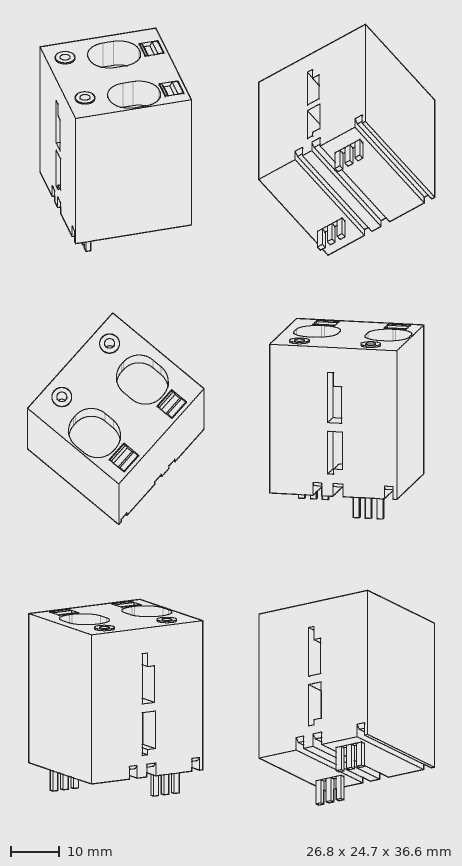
import cadquery as cq


WIDTH = 26.8
DEPTH = 24.7
PIN_LENGTH = 5.0
COLLAR_HEIGHT = 0.3
TOTAL_HEIGHT = 36.6
HEIGHT = TOTAL_HEIGHT - PIN_LENGTH - COLLAR_HEIGHT

POLE_PITCH = 15
POLE_SHIFTS = [0, POLE_PITCH]

ENTRY_X = 6.8
ENTRY_Y = 13.87
ENTRY_WIDTH = 9.15
ENTRY_LENGTH = 10.8
ENTRY_CORNER_RADIUS = 4.3
ENTRY_DEPTH = 6.0

TEST_X = 5.4
TEST_Y = 3.8
COLLAR_DIAMETER = 4.05
BORE_DIAMETER = 2.05
BORE_DEPTH = 5.5

WINDOW_X = ENTRY_X
WINDOW_Y = 21.85
WINDOW_WIDTH = 4.65
WINDOW_LENGTH = 4.05
WINDOW_DEPTH = 7.32
LEVER_GAP = 0.15
LEVER_WIDTH = WINDOW_WIDTH - 2 * LEVER_GAP
LEVER_LENGTH = WINDOW_LENGTH - 2 * LEVER_GAP
LEVER_FRONT_LAND = 0.4
LEVER_BACK_LAND = 1.15
GROOVE_DEPTH = 0.85
GROOVE_FLANK_RUN = 0.495

SLOT_LEFT = 12.22
SLOT_NARROW_WIDTH = 1.28
UPPER_SLOT_WIDTH = 2.95
UPPER_SLOT_BOTTOM = 15.45
UPPER_SLOT_STEP = 23.13
UPPER_SLOT_TOP = 26
LOWER_SLOT_WIDTH = 3.1
LOWER_SLOT_BOTTOM = 4.65
LOWER_SLOT_STEP = 5.75
LOWER_SLOT_TOP = 13.6
SLOT_DEPTH = 4.75

SIDE_CHANNEL_LEFT = 9.15
SIDE_CHANNEL_WIDTH = 1.83
MIDDLE_CHANNEL_LEFT = 13.32
MIDDLE_CHANNEL_WIDTH = 2.12
CHANNEL_HEIGHT = 1.85
MOUTH_HEIGHT = 2.7
MOUTH_RUN = MOUTH_HEIGHT - CHANNEL_HEIGHT

PINS_PER_CONTACT = 3
PIN_PITCH = 2.5
PIN_WIDTH = 1.25
PIN_THICKNESS = 1.05
FIRST_PIN_X = 2.5
FRONT_ROW_Y = 3.77
BACK_ROW_Y = FRONT_ROW_Y + POLE_PITCH
CONTACT_ROWS = [BACK_ROW_Y, FRONT_ROW_Y]
BAR_LENGTH = (PINS_PER_CONTACT - 1) * PIN_PITCH + PIN_WIDTH
BAR_HEIGHT = 1.1


def block(left, front, bottom, size_x, size_y, size_z):
    """A box placed by its lowest corner."""
    return cq.Workplane("XY").box(size_x, size_y, size_z, centered=False).translate((left, front, bottom))


def wire_entry(shift):
    return (
        cq.Workplane("XY", origin=(ENTRY_X + shift, ENTRY_Y, HEIGHT - ENTRY_DEPTH))
        .rect(ENTRY_WIDTH, ENTRY_LENGTH)
        .extrude(ENTRY_DEPTH)
        .edges("|Z")
        .fillet(ENTRY_CORNER_RADIUS)
    )


def collar(shift):
    return (
        cq.Workplane("XY", origin=(TEST_X + shift, TEST_Y, HEIGHT))
        .circle(COLLAR_DIAMETER / 2)
        .extrude(COLLAR_HEIGHT)
    )


def test_bore(shift):
    return (
        cq.Workplane("XY", origin=(TEST_X + shift, TEST_Y, HEIGHT + COLLAR_HEIGHT))
        .circle(BORE_DIAMETER / 2)
        .extrude(-BORE_DEPTH)
    )


def lever_window(shift):
    return block(
        WINDOW_X + shift - WINDOW_WIDTH / 2,
        WINDOW_Y - WINDOW_LENGTH / 2,
        HEIGHT - WINDOW_DEPTH,
        WINDOW_WIDTH,
        WINDOW_LENGTH,
        WINDOW_DEPTH,
    )


def keying_slots():
    """The upper slot narrows at its top, the lower slot at its bottom."""
    narrow_upper = block(
        SLOT_LEFT, 0, UPPER_SLOT_BOTTOM, SLOT_NARROW_WIDTH, SLOT_DEPTH, UPPER_SLOT_TOP - UPPER_SLOT_BOTTOM
    )
    wide_upper = block(
        SLOT_LEFT, 0, UPPER_SLOT_BOTTOM, UPPER_SLOT_WIDTH, SLOT_DEPTH, UPPER_SLOT_STEP - UPPER_SLOT_BOTTOM
    )
    narrow_lower = block(
        SLOT_LEFT, 0, LOWER_SLOT_BOTTOM, SLOT_NARROW_WIDTH, SLOT_DEPTH, LOWER_SLOT_TOP - LOWER_SLOT_BOTTOM
    )
    wide_lower = block(
        SLOT_LEFT, 0, LOWER_SLOT_STEP, LOWER_SLOT_WIDTH, SLOT_DEPTH, LOWER_SLOT_TOP - LOWER_SLOT_STEP
    )
    return narrow_upper.union(wide_upper).union(narrow_lower.union(wide_lower))


def underside_channel(left, width):
    return (
        cq.Workplane("YZ", origin=(left, 0, 0))
        .polyline([(0, 0), (DEPTH, 0), (DEPTH, CHANNEL_HEIGHT), (MOUTH_RUN, CHANNEL_HEIGHT), (0, MOUTH_HEIGHT)])
        .close()
        .extrude(width)
    )


def contact_bar(shift, row_y):
    return block(
        FIRST_PIN_X + shift - PIN_WIDTH / 2,
        row_y - PIN_THICKNESS / 2,
        0,
        BAR_LENGTH,
        PIN_THICKNESS,
        BAR_HEIGHT,
    )


def make_housing():
    housing = block(0, 0, 0, WIDTH, DEPTH, HEIGHT).cut(keying_slots())
    housing = housing.cut(underside_channel(MIDDLE_CHANNEL_LEFT, MIDDLE_CHANNEL_WIDTH))
    for shift, row_y in zip(POLE_SHIFTS, CONTACT_ROWS):
        housing = housing.union(collar(shift))
        housing = housing.cut(test_bore(shift))
        housing = housing.cut(wire_entry(shift))
        housing = housing.cut(lever_window(shift))
        housing = housing.cut(underside_channel(SIDE_CHANNEL_LEFT + shift, SIDE_CHANNEL_WIDTH))
        housing = housing.cut(contact_bar(shift, row_y))
    return housing


def make_lever(shift):
    """A block standing on the window floor, with a trapezoidal finger groove across its top."""
    front = WINDOW_Y - LEVER_LENGTH / 2
    back = front + LEVER_LENGTH
    groove_front = front + LEVER_FRONT_LAND
    groove_back = back - LEVER_BACK_LAND
    floor = HEIGHT - WINDOW_DEPTH
    groove_floor = HEIGHT - GROOVE_DEPTH
    return (
        cq.Workplane("YZ", origin=(WINDOW_X + shift - LEVER_WIDTH / 2, 0, 0))
        .moveTo(front, floor)
        .lineTo(back, floor)
        .lineTo(back, HEIGHT)
        .lineTo(groove_back, HEIGHT)
        .lineTo(groove_back - GROOVE_FLANK_RUN, groove_floor)
        .lineTo(groove_front + GROOVE_FLANK_RUN, groove_floor)
        .lineTo(groove_front, HEIGHT)
        .lineTo(front, HEIGHT)
        .close()
        .extrude(LEVER_WIDTH)
    )


def make_contact(shift, row_y):
    contact = contact_bar(shift, row_y)
    for index in range(PINS_PER_CONTACT):
        pin_left = FIRST_PIN_X + shift + index * PIN_PITCH - PIN_WIDTH / 2
        pin = block(pin_left, row_y - PIN_THICKNESS / 2, -PIN_LENGTH, PIN_WIDTH, PIN_THICKNESS, PIN_LENGTH)
        contact = contact.union(pin)
    return contact


housing = make_housing()
levers = [make_lever(shift) for shift in POLE_SHIFTS]
contacts = [make_contact(shift, row_y) for shift, row_y in zip(POLE_SHIFTS, CONTACT_ROWS)]

result = cq.Compound.makeCompound([body.val() for body in [housing, *levers, *contacts]])